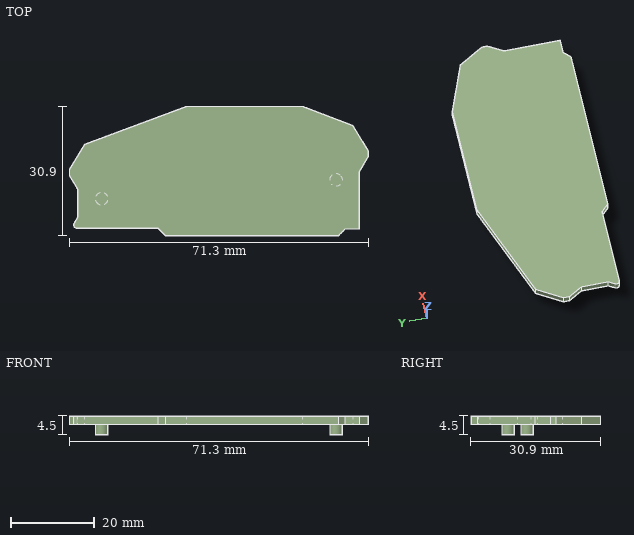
import cadquery as cq
import math

length = 71.3
width = 30.9
plate_thickness = 2.0
total_height = 4.5

top_edge_start = 27.95
top_edge_end = 55.6
left_shoulder = (3.65, 21.8)
right_shoulder = (67.6, 26.3)

left_lobe_top = 15.8
left_lobe_bottom = 14.3
left_side_x = 2.0
left_side_top = 11.05
left_side_bottom = 4.5
right_lobe_top = 20.25
right_lobe_bottom = 18.9
right_side_x = 69.15
right_side_top = 15.25

toe_radius = 0.8
toe_slope = math.radians(60)

left_step_height = 1.8
right_step_height = 1.6
tongue_left = 22.9
tongue_right = 64.2

toe_start_y = left_step_height + toe_radius * (1 + math.cos(toe_slope))
toe_start_x = left_side_x - (left_side_bottom - toe_start_y) / math.tan(toe_slope)
toe_end_x = toe_start_x + toe_radius * math.sin(toe_slope)

pin_diameter = 3.0
pin_height = total_height - plate_thickness
pin_inset = 7.7
left_pin_y = 8.85
pin_offset_y = 4.5
pin_centers = [
    (pin_inset, left_pin_y),
    (length - pin_inset, left_pin_y + pin_offset_y),
]


def make_plate():
    """Flat plate standing on the plane z = 0, with 45 degree tongue ends."""
    return (
        cq.Workplane("XY")
        .moveTo(tongue_left, 0)
        .lineTo(tongue_right, 0)
        .lineTo(tongue_right + right_step_height, right_step_height)
        .lineTo(right_side_x, right_step_height)
        .lineTo(right_side_x, right_side_top)
        .lineTo(length, right_lobe_bottom)
        .lineTo(length, right_lobe_top)
        .lineTo(*right_shoulder)
        .lineTo(top_edge_end, width)
        .lineTo(top_edge_start, width)
        .lineTo(*left_shoulder)
        .lineTo(0, left_lobe_top)
        .lineTo(0, left_lobe_bottom)
        .lineTo(left_side_x, left_side_top)
        .lineTo(left_side_x, left_side_bottom)
        .lineTo(toe_start_x, toe_start_y)
        .radiusArc((toe_end_x, left_step_height), -toe_radius)
        .lineTo(tongue_left - left_step_height, left_step_height)
        .close()
        .extrude(plate_thickness)
    )


def make_pins():
    """Round pins hanging from the underside of the plate."""
    return cq.Workplane("XY").pushPoints(pin_centers).circle(pin_diameter / 2).extrude(-pin_height)


result = make_plate().union(make_pins())